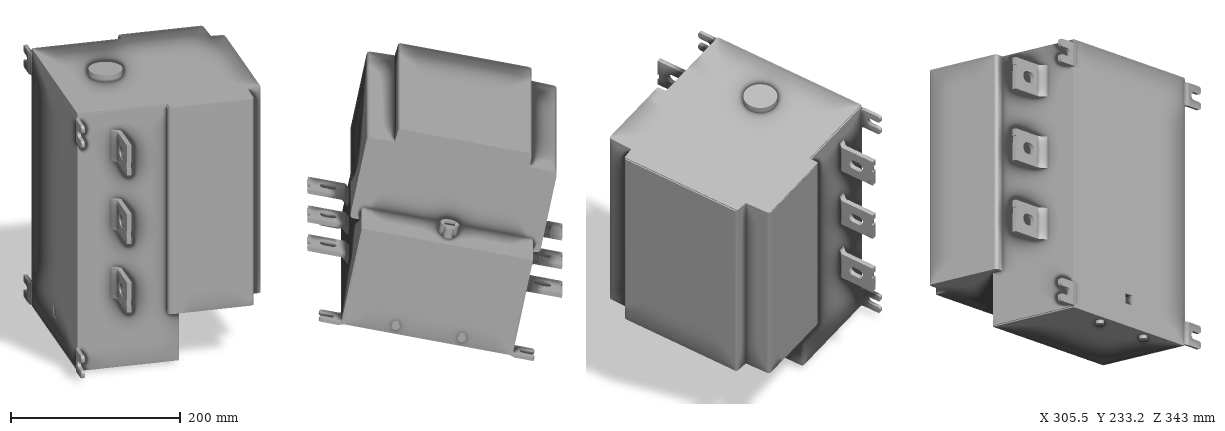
import cadquery as cq


total_height = 343.0
total_width = 305.5
total_depth = 233.2
sheet = 1.5

peg_height = 4.0
peg_diameter = 10.0
peg_x = 39.8
peg_y = 11.5

knob_height = 9.0
knob_diameter = 40.0
knob_y = 62.0

case_bottom = peg_height
case_top = total_height - knob_height
case_half_width = 103.0
case_depth = 124.0

foot_thickness = 4.0
foot_proud = 2.7
foot_height = 28.5
foot_reach = 129.3
foot_bend_x = 106.0
foot_bend_drop = 1.5
foot_root_x = 102.0
foot_inner_x = 100.5
foot_slot_width = 9.5
foot_slot_end_x = 111.5
foot_tip_radius = 3.8
top_foot_z = 314.2
foot_centers_z = (case_bottom + sheet + foot_height / 2, top_foot_z)

cover_bottom = 69.5
cover_half_width = 114.2
cover_front = 108.0
cover_back = total_depth - foot_proud
shoulder_outer_y = 212.3
shoulder_inner_y = 213.5
riser_base_x = 81.3
riser_top_x = 80.0
cover_radius = 4.0
riser_radius = 3.0
lid_side_step = 0.5

terminal_half_span = total_width / 2
terminal_thickness = 5.5
terminal_height = 38.8
terminal_front = 46.3
terminal_bend_x = 111.0
terminal_bend_radius = 3.5
terminal_slope = 0.85
terminal_back_bend_x = 108.5
terminal_root_x = case_half_width - 3.5
terminal_pitch = 87.8
terminal_middle_z = 202.0
terminal_slot_x = 129.0
terminal_slot_length = 20.0
terminal_slot_height = 13.7
notch_depth = 1.7
notch_height = 8.0
notch_offset = 7.0

lock_z = 37.5
lock_radius = 11.0
lock_back = 137.5
lock_tail_radius = 5.5
lock_tail_z = 24.7
square_hole = 12.5


def box(x_range, y_range, z_range):
    """Box between pairs of limits along each axis."""
    size = [high - low for low, high in (x_range, y_range, z_range)]
    corner = (x_range[0], y_range[0], z_range[0])
    return cq.Workplane("XY").box(*size, centered=False).translate(corner)


def make_case():
    """Plain core box with thin side panels, set in from its top, bottom and back but flush in front."""
    core_half_width = case_half_width - sheet
    core = box((-core_half_width, core_half_width), (0, case_depth), (case_bottom, case_top))
    panels = box(
        (-case_half_width, case_half_width),
        (0, case_depth - sheet),
        (case_bottom + sheet, case_top - sheet),
    )
    return core.union(panels)


def make_cover():
    """Stepped cover with rounded upright corners; its lid stands in slightly from the walls."""
    right_side = [
        (cover_half_width, cover_front),
        (cover_half_width, shoulder_outer_y),
        (riser_base_x, shoulder_inner_y),
        (riser_top_x, cover_back),
    ]
    left_side = [(-x, y) for x, y in reversed(right_side)]
    cover = (
        cq.Workplane("XY", origin=(0, 0, cover_bottom))
        .polyline(right_side + left_side)
        .close()
        .extrude(case_top - cover_bottom)
    )
    middle_z = (cover_bottom + case_top) / 2
    for x in (-cover_half_width, cover_half_width):
        for y in (cover_front, shoulder_outer_y):
            corner = cq.selectors.NearestToPointSelector((x, y, middle_z))
            cover = cover.edges("|Z").edges(corner).fillet(cover_radius)
    cover = cover.edges("|Z").edges(">Y").fillet(riser_radius)

    lid_half_width = cover_half_width - lid_side_step
    lid_z = (case_top - sheet, case_top)
    rim = box((-cover_half_width, cover_half_width), (cover_front, cover_back), lid_z)
    lid = box((-lid_half_width, lid_half_width), (cover_front + sheet, cover_back - sheet), lid_z)
    return cover.cut(rim.cut(lid))


def make_foot():
    """Right-hand slotted foot with a joggled root, centred on Z = 0."""
    front = -foot_proud
    back = front + foot_thickness
    foot = (
        cq.Workplane("XY")
        .moveTo(foot_reach, front)
        .lineTo(foot_bend_x, front)
        .lineTo(foot_root_x, front + foot_bend_drop)
        .lineTo(foot_inner_x, front + foot_bend_drop)
        .lineTo(foot_inner_x, back + foot_bend_drop)
        .lineTo(foot_root_x, back + foot_bend_drop)
        .lineTo(foot_bend_x, back)
        .lineTo(foot_reach, back)
        .close()
        .extrude(foot_height / 2, both=True)
    )
    slot = (
        cq.Workplane("XZ", origin=(foot_reach, 0, 0))
        .slot2D(2 * (foot_reach - foot_slot_end_x), foot_slot_width)
        .extrude(2 * foot_thickness, both=True)
    )
    mouth = box(
        (foot_slot_end_x + foot_slot_width / 2, foot_reach),
        (front, back),
        (-foot_slot_width / 2, foot_slot_width / 2),
    )
    return foot.cut(slot).cut(mouth).edges("|Y and >X").fillet(foot_tip_radius)


def make_terminal():
    """Right-hand terminal: bent tab with a slot and an edge notch, centred on Z = 0."""
    back = terminal_front + terminal_thickness
    root_front = terminal_front - terminal_slope * (terminal_bend_x - terminal_root_x)
    root_back = back - terminal_slope * (terminal_back_bend_x - terminal_root_x)
    tab = (
        cq.Workplane("XY")
        .moveTo(terminal_half_span, terminal_front)
        .lineTo(terminal_bend_x, terminal_front)
        .lineTo(terminal_root_x, root_front)
        .lineTo(terminal_root_x, root_back)
        .lineTo(terminal_back_bend_x, back)
        .lineTo(terminal_half_span, back)
        .close()
        .extrude(terminal_height / 2, both=True)
    )
    bend = cq.selectors.NearestToPointSelector((terminal_bend_x, terminal_front, 0))
    tab = tab.edges("|Z").edges(bend).fillet(terminal_bend_radius)
    slot = (
        cq.Workplane("XZ", origin=(terminal_slot_x, back, 0))
        .slot2D(terminal_slot_length, terminal_slot_height)
        .extrude(terminal_thickness)
    )
    notch = box(
        (terminal_half_span - notch_depth, terminal_half_span),
        (terminal_front, back),
        (-notch_offset - notch_height / 2, -notch_offset + notch_height / 2),
    )
    return tab.cut(slot).cut(notch)


def make_lock():
    """Round lock boss with a rounded tail below it, starting inside the case."""
    depth = lock_back - case_depth + 2 * sheet
    plane = cq.Workplane("XZ", origin=(0, lock_back, 0))
    barrel = plane.center(0, lock_z).circle(lock_radius).extrude(depth)
    tail_end = plane.center(0, lock_tail_z).circle(lock_tail_radius).extrude(depth)
    tail_web = box(
        (-lock_tail_radius, lock_tail_radius),
        (lock_back - depth, lock_back),
        (lock_tail_z, lock_z),
    )
    return barrel.union(tail_end).union(tail_web)


result = make_case().union(make_cover()).union(make_lock())

right_foot = make_foot()
for foot_z in foot_centers_z:
    result = result.union(right_foot.translate((0, 0, foot_z)))
    result = result.union(right_foot.mirror("YZ").translate((0, 0, foot_z)))

right_terminal = make_terminal()
left_terminal = right_terminal.mirror("YZ").mirror("XY")
for step in (-1, 0, 1):
    terminal_z = terminal_middle_z + step * terminal_pitch
    result = result.union(right_terminal.translate((0, 0, terminal_z)))
    result = result.union(left_terminal.translate((0, 0, terminal_z)))

knob = cq.Workplane("XY", origin=(0, knob_y, case_top)).circle(knob_diameter / 2).extrude(knob_height)
pegs = (
    cq.Workplane("XY")
    .pushPoints([(-peg_x, peg_y), (peg_x, peg_y)])
    .circle(peg_diameter / 2)
    .extrude(peg_height)
)
result = result.union(knob).union(pegs)

hole_range = (-square_hole / 2, square_hole / 2)
hole = box(hole_range, (0, lock_back), hole_range).translate((0, 0, lock_z))
result = result.cut(hole)